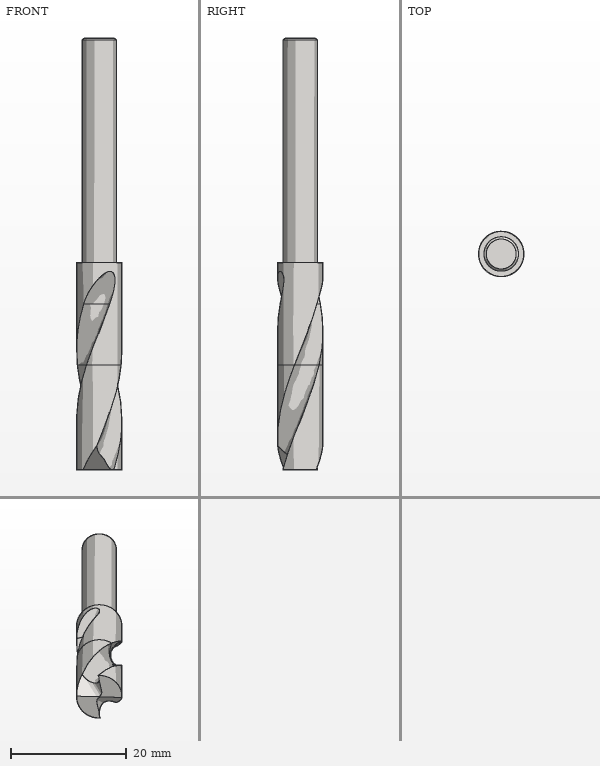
import cadquery as cq
import math

overall_length = 75.0
body_diameter = 7.9
body_length = 36.0
shank_diameter = 6.0
shank_chamfer_radial = 0.4
shank_chamfer_axial = 0.3
tip_length = 18.2

flute_count = 2
helix_pitch = 62.0
degrees_per_mm = 360.0 / helix_pitch
flute_length = 28.8
flute_start_angle = -59.5

trailing_edge = (1.92, -3.45)
flute_root = (1.72, -1.2)
cutting_edge = (body_diameter / 2, 0.65)
trailing_direction = (-0.12, 1.0)
cutting_direction = (1.0, -0.2)

runout_length = 5.9
runout_steps = 4
runout_rise = 2.1
runout_lean = 24.0

gash_tilt = 40.0
gash_roll = 53.0
gash_wall_offset = 0.6
gash_root_radius = 1.0

body_radius = body_diameter / 2
clearance = body_diameter


def flute_outline(start_angle, height, rise=0.0):
    """Flute section at a height, lifted out of the body by `rise`; the outer side is open."""
    facing = math.radians(start_angle + degrees_per_mm * height)
    plane = cq.Plane(
        origin=(0, 0, height),
        xDir=(math.cos(facing), math.sin(facing), 0),
        normal=(0, 0, 1),
    )
    lean = math.radians(runout_lean)
    return (
        cq.Workplane(plane)
        .center(rise * math.cos(lean), -rise * math.sin(lean))
        .moveTo(trailing_edge[0], -clearance)
        .lineTo(*trailing_edge)
        .spline([flute_root, cutting_edge], [trailing_direction, cutting_direction], includeCurrent=True)
        .lineTo(clearance, cutting_edge[1])
        .lineTo(clearance, -clearance)
        .close()
    )


def flute_cutter(start_angle):
    """Twisted full-depth stretch of a flute that starts at `start_angle` on the tip face."""
    return flute_outline(start_angle, 0).twistExtrude(flute_length, degrees_per_mm * flute_length)


def runout_cutter(start_angle):
    """Upper end of a flute, rising out of the body along a parabola while it keeps twisting."""
    wires = []
    for step in range(runout_steps + 1):
        part = step / runout_steps
        height = flute_length + part * runout_length
        wires.append(flute_outline(start_angle, height, runout_rise * part**2).val())
    return cq.Workplane(cq.Solid.makeLoft(wires))


def gash_cutter():
    """Leaning V-shaped cut with a rounded root; its valley leaves the tip face near the axis."""
    tilt = math.radians(gash_tilt)
    roll = math.radians(gash_roll)
    plane = cq.Plane(
        origin=(0, 0, 0),
        xDir=(
            math.cos(roll),
            -math.sin(roll) * math.cos(tilt),
            -math.sin(roll) * math.sin(tilt),
        ),
        normal=(0, -math.sin(tilt), math.cos(tilt)),
    )
    return (
        cq.Workplane(plane)
        .center(0, gash_wall_offset)
        .rect(clearance, -clearance, centered=False)
        .extrude(clearance, both=True)
        .edges(cq.selectors.NearestToPointSelector((0, 0, 0)))
        .fillet(gash_root_radius)
    )


def fluted(blank):
    """Cut all helical flutes and their run-outs into a blank."""
    for index in range(flute_count):
        angle = flute_start_angle + index * 360.0 / flute_count
        blank = blank.cut(flute_cutter(angle)).cut(runout_cutter(angle))
    return blank


def make_cutting_tip():
    """Lower, fluted end of the tool with a gash in front of each cutting edge."""
    tip = fluted(cq.Workplane("XY").circle(body_radius).extrude(tip_length))
    gash = gash_cutter()
    for index in range(flute_count):
        tip = tip.cut(gash.rotate((0, 0, 0), (0, 0, 1), index * 360.0 / flute_count))
    return tip


def make_holder():
    """Upper part of the fluted body together with the plain shank."""
    body = (
        cq.Workplane("XY", origin=(0, 0, tip_length))
        .circle(body_radius)
        .extrude(body_length - tip_length)
    )
    shank = (
        cq.Workplane("XY", origin=(0, 0, body_length))
        .circle(shank_diameter / 2)
        .extrude(overall_length - body_length)
        .faces(">Z")
        .chamfer(shank_chamfer_axial, shank_chamfer_radial)
    )
    return fluted(body).union(shank)


cutting_tip = make_cutting_tip()
holder = make_holder()

result = cq.Compound.makeCompound([cutting_tip.val(), holder.val()])